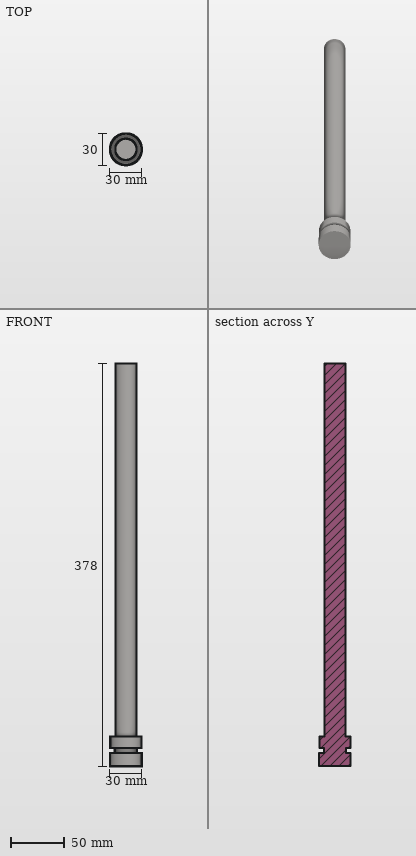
import cadquery as cq

ROD_DIAMETER = 20.0
COLLAR_DIAMETER = 29.5
NECK_DIAMETER = 21.0
FLANGE_DIAMETER = 30.0

OVERALL_HEIGHT = 378.0
FLANGE_HEIGHT = 12.5
NECK_HEIGHT = 4.5
COLLAR_HEIGHT = 11.0
ROD_HEIGHT = OVERALL_HEIGHT - FLANGE_HEIGHT - NECK_HEIGHT - COLLAR_HEIGHT


def add_section(body, diameter, height):
    """Stack a cylinder on the top face of the body."""
    return body.faces(">Z").workplane().circle(diameter / 2).extrude(height)


flange = cq.Workplane("XY").circle(FLANGE_DIAMETER / 2).extrude(FLANGE_HEIGHT)

flange_and_neck = add_section(flange, NECK_DIAMETER, NECK_HEIGHT)
head = add_section(flange_and_neck, COLLAR_DIAMETER, COLLAR_HEIGHT)
result = add_section(head, ROD_DIAMETER, ROD_HEIGHT)